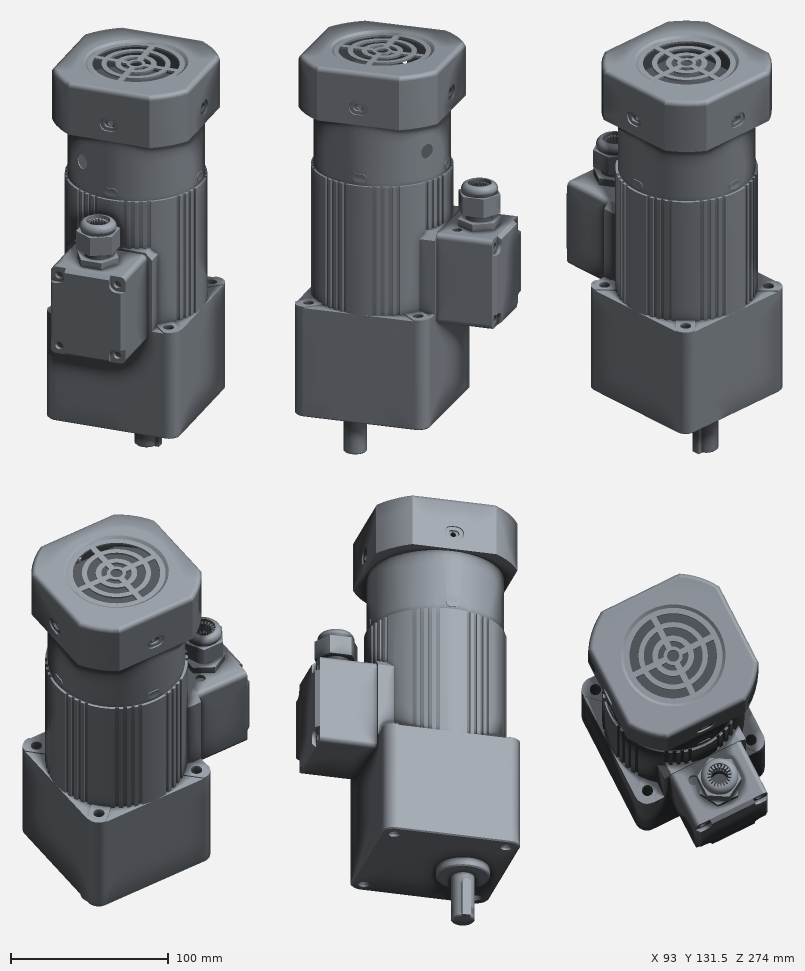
import cadquery as cq
import math


FRAME_SIDE = 90.5
FRAME_HALF = FRAME_SIDE / 2
FRAME_CORNER_RADIUS = 8.0
GEARBOX_HEIGHT = 65.2
GEARBOX_CHAMFER = 0.8
MOUNT_HOLE_OFFSET = 36.7
MOUNT_HOLE_DIAMETER = 7.0
SHAFT_OFFSET_Y = 18.0
BOSS_DIAMETER = 34.2
BOSS_HEIGHT = 5.8
BOSS_CHAMFER = 0.8

SHAFT_DIAMETER = 15.0
SHAFT_LENGTH = 30.7
SHAFT_CHAMFER = 0.8
KEY_WIDTH = 5.5
KEY_LENGTH = 25.8
KEY_OUTER_X = 9.5
KEY_DEPTH = 5.0

FLANGE_HEIGHT = 8.2
CORNER_PAD_HEIGHT = 0.8
CORNER_PAD_WIDTH = 12.0
STATOR_RADIUS = FRAME_HALF
STATOR_TOP = 160.3
GROOVE_GROUPS = 8
GROOVES_PER_GROUP = 4
GROOVE_PITCH_ANGLE = 6.4
GROOVE_WIDTH = 2.5
GROOVE_DEPTH = 1.5
BOX_PAD_WIDTH = 57.5
BOX_PAD_TOP = 127.7
BOX_PAD_CHAMFER = 4.7
SPIGOT_HEIGHT = 8.8
TAB_RADIUS = 44.0
TAB_WIDTH = 9.3
TAB_HEIGHT = 5.5
TAB_CENTER_Z = STATOR_TOP + 5.0

SKIRT_RADIUS = 43.5
SKIRT_WALL = 0.5
SKIRT_BORE_RADIUS = SKIRT_RADIUS - SKIRT_WALL
CAP_SIDE = 93.0
CAP_CORNER_RADIUS = 54.0
CAP_BOTTOM = 202.0
CAP_TOP = 237.5
CAP_FILLET = 3.0
CAP_WALL = 3.8
CAP_ROOF_THICKNESS = 1.0
CAP_FLOOR_THICKNESS = 9.5
GRILLE_PLATE_RADIUS = 35.3
DISH_TOP_RADIUS = 33.2
DISH_BOTTOM_RADIUS = 31.2
DISH_DEPTH = 1.5
GRILLE_THICKNESS = 1.5
GRILLE_RINGS = ((6.0, 9.5), (13.2, 18.5), (22.0, 27.7))
SPOKE_WIDTH = 3.8
CENTER_HOLE_DIAMETER = 7.7
SIDE_SLOT_Z = 213.5
SIDE_SLOT_LENGTH = 7.0
SIDE_SLOT_WIDTH = 4.7
SIDE_RECESS_LENGTH = 12.5
SIDE_RECESS_WIDTH = 9.3
SIDE_RECESS_DEPTH = 1.0
SIDE_SLOT_DEPTH = 2.7
SIDE_HOLE_DIAMETER = 3.5
SKIRT_HOLE_DIAMETER = 9.5
SKIRT_HOLE_Z = 180.3
SKIRT_HOLE_ANGLE = 30

BOX_WIDTH = 50.7
BOX_BOTTOM = 66.0
BOX_TOP = 126.3
BOX_BACK_Y = -FRAME_HALF
OVERALL_DEPTH = 131.5
BOX_FRONT_Y = CAP_SIDE / 2 - OVERALL_DEPTH
BOX_FILLET = 3.3
LID_DEPTH = 2.7
LID_BEVEL = 2.2
SCREW_POCKET_SIDE = 10.1
SCREW_POCKET_RADIUS = 5.0
SCREW_INSET = 5.5
SCREW_HOLE_DIAMETER = 5.0
SCREW_HOLE_DEPTH = 2.7
PLUG_HOLE_X = -13.2
PLUG_HOLE_Y = -54.8
PLUG_HOLE_DIAMETER = 6.3
PLUG_HOLE_DEPTH = 2.7

GLAND_Y = -65.2
LOCKNUT_FLATS = 24.0
LOCKNUT_HEIGHT = 5.0
NECK_DIAMETER = 17.3
NECK_HEIGHT = 4.7
CAPNUT_FLATS = 24.5
CAPNUT_HEIGHT = 12.5
CAPNUT_TURN = 30
DOME_DIAMETER = 23.5
DOME_BASE_DIAMETER = 22.0
DOME_BAND_HEIGHT = 2.5
DOME_RADIUS = 4.0
MOUTH_DIAMETER = DOME_DIAMETER - 2 * DOME_RADIUS
MOUTH_DEPTH = 2.2
CABLE_BORE_DIAMETER = 10.7
FINGER_COUNT = 20
FINGER_GAP = 0.8
FINGER_LENGTH = 8.2

EXTRA = 2.7


def box_between(x0, x1, y0, y1, z0, z1):
    return cq.Workplane("XY").box(x1 - x0, y1 - y0, z1 - z0, centered=False).translate((x0, y0, z0))


def cylinder(radius, z0, z1):
    return cq.Workplane("XY").workplane(offset=z0).circle(radius).extrude(z1 - z0)


def frame_block(z0, z1):
    block = cq.Workplane("XY").workplane(offset=z0).rect(FRAME_SIDE, FRAME_SIDE).extrude(z1 - z0)
    return block.edges("|Z").fillet(FRAME_CORNER_RADIUS)


def mounting_holes(z0, z1):
    spacing = 2 * MOUNT_HOLE_OFFSET
    holes = cq.Workplane("XY").workplane(offset=z0).rect(spacing, spacing, forConstruction=True)
    return holes.vertices().circle(MOUNT_HOLE_DIAMETER / 2).extrude(z1 - z0)


def radial_obround(length, width, center_z, reach):
    """Obround bar along -Y from the motor axis, long side horizontal."""
    return cq.Workplane("XZ").center(0, center_z).slot2D(length, width).extrude(reach)


def four_ways(tool):
    """The tool joined with its copies at every quarter turn about the motor axis."""
    turned = tool
    for quarter in range(1, 4):
        turned = turned.union(tool.rotate((0, 0, 0), (0, 0, 1), 90 * quarter))
    return turned


def tab_bars():
    """Four radial bars that shape the motor tabs and the windows they sit in."""
    return four_ways(radial_obround(TAB_WIDTH, TAB_HEIGHT, TAB_CENTER_Z, FRAME_SIDE))


def make_gearbox():
    body = frame_block(0, GEARBOX_HEIGHT)
    body = body.faces("<Z").edges().chamfer(GEARBOX_CHAMFER)
    boss = cylinder(BOSS_DIAMETER / 2, -BOSS_HEIGHT, GEARBOX_CHAMFER)
    boss = boss.faces("<Z").edges().chamfer(BOSS_CHAMFER).translate((0, SHAFT_OFFSET_Y, 0))
    return body.union(boss).cut(mounting_holes(-EXTRA, GEARBOX_HEIGHT + EXTRA))


SHAFT_TIP_Z = -BOSS_HEIGHT - SHAFT_LENGTH


def make_key():
    """Key reaching the shaft tip, with its upper end rounded."""
    key = box_between(
        KEY_OUTER_X - KEY_DEPTH,
        KEY_OUTER_X,
        SHAFT_OFFSET_Y - KEY_WIDTH / 2,
        SHAFT_OFFSET_Y + KEY_WIDTH / 2,
        SHAFT_TIP_Z,
        SHAFT_TIP_Z + KEY_LENGTH - KEY_WIDTH / 2,
    )
    round_end = (
        cq.Workplane("YZ")
        .workplane(offset=KEY_OUTER_X - KEY_DEPTH)
        .center(SHAFT_OFFSET_Y, SHAFT_TIP_Z + KEY_LENGTH - KEY_WIDTH / 2)
        .circle(KEY_WIDTH / 2)
        .extrude(KEY_DEPTH)
    )
    return key.union(round_end)


def make_output_shaft(key):
    shaft = cylinder(SHAFT_DIAMETER / 2, SHAFT_TIP_Z, -BOSS_HEIGHT)
    shaft = shaft.faces("<Z").edges().chamfer(SHAFT_CHAMFER)
    return shaft.translate((0, SHAFT_OFFSET_Y, 0)).cut(key)


FLANGE_TOP = GEARBOX_HEIGHT + FLANGE_HEIGHT
PAD_TOP = FLANGE_TOP + CORNER_PAD_HEIGHT


def make_corner_pads():
    """Raised strips along both diagonals, trimmed to the frame outline."""
    diagonal = FRAME_SIDE * math.sqrt(2)
    strip = box_between(
        -diagonal / 2, diagonal / 2, -CORNER_PAD_WIDTH / 2, CORNER_PAD_WIDTH / 2, GEARBOX_HEIGHT, PAD_TOP
    )
    strips = strip.rotate((0, 0, 0), (0, 0, 1), 45).union(strip.rotate((0, 0, 0), (0, 0, 1), -45))
    return strips.intersect(frame_block(GEARBOX_HEIGHT, PAD_TOP))


def make_groove_cutters():
    """Cooling grooves in equal groups, none of them centred on the X or Y axis."""
    groove = box_between(
        STATOR_RADIUS - GROOVE_DEPTH,
        STATOR_RADIUS + EXTRA,
        -GROOVE_WIDTH / 2,
        GROOVE_WIDTH / 2,
        FLANGE_TOP,
        STATOR_TOP + EXTRA,
    )
    cutters = cq.Workplane("XY")
    group_angle = 360 / GROOVE_GROUPS
    for group in range(GROOVE_GROUPS):
        for index in range(GROOVES_PER_GROUP):
            from_middle = (index - (GROOVES_PER_GROUP - 1) / 2) * GROOVE_PITCH_ANGLE
            angle = (group + 0.5) * group_angle + from_middle
            cutters = cutters.add(groove.rotate((0, 0, 0), (0, 0, 1), angle).vals())
    return cutters.combine()


def make_box_pad():
    """Flat-faced pad that carries the terminal box."""
    half = BOX_PAD_WIDTH / 2
    pad = box_between(-half, half, -FRAME_HALF, 0, GEARBOX_HEIGHT, BOX_PAD_TOP)
    return pad.edges("|Y and >Z").chamfer(BOX_PAD_CHAMFER)


def make_cover_tabs():
    return tab_bars().intersect(cylinder(TAB_RADIUS, STATOR_TOP, CAP_BOTTOM))


def make_motor_body():
    body = cylinder(STATOR_RADIUS, GEARBOX_HEIGHT, STATOR_TOP).cut(make_groove_cutters())
    body = body.union(frame_block(GEARBOX_HEIGHT, FLANGE_TOP))
    body = body.union(make_corner_pads())
    body = body.union(make_box_pad())
    body = body.union(cylinder(SKIRT_BORE_RADIUS, STATOR_TOP, STATOR_TOP + SPIGOT_HEIGHT))
    body = body.union(make_cover_tabs())
    return body.cut(mounting_holes(GEARBOX_HEIGHT - EXTRA, PAD_TOP + EXTRA))


DISH_FLOOR = CAP_TOP - DISH_DEPTH
CAVITY_FLOOR = CAP_BOTTOM + CAP_FLOOR_THICKNESS
CAVITY_TOP = CAP_TOP - CAP_ROOF_THICKNESS
GRILLE_BOTTOM = DISH_FLOOR - GRILLE_THICKNESS


def cap_block(inset, z0, z1):
    """Square with round corners concentric with the motor, shrunk by the inset."""
    side = CAP_SIDE - 2 * inset
    square = cq.Workplane("XY").workplane(offset=z0).rect(side, side).extrude(z1 - z0)
    return square.intersect(cylinder(CAP_CORNER_RADIUS - inset, z0, z1))


def make_grille_cutters():
    z0 = GRILLE_BOTTOM - EXTRA
    z1 = DISH_FLOOR + EXTRA
    slots = cylinder(CENTER_HOLE_DIAMETER / 2, z0, z1)
    spoke = box_between(-CAP_SIDE, CAP_SIDE, -SPOKE_WIDTH / 2, SPOKE_WIDTH / 2, z0, z1)
    cross = spoke.union(spoke.rotate((0, 0, 0), (0, 0, 1), 90))
    for inner_radius, outer_radius in GRILLE_RINGS:
        ring = cylinder(outer_radius, z0, z1).cut(cylinder(inner_radius, z0, z1))
        slots = slots.union(ring.cut(cross))
    return slots


def make_dish():
    return (
        cq.Workplane("XY")
        .workplane(offset=DISH_FLOOR)
        .circle(DISH_BOTTOM_RADIUS)
        .workplane(offset=DISH_DEPTH)
        .circle(DISH_TOP_RADIUS)
        .loft()
    )


def make_side_slots():
    """Stepped openings through the four flat walls of the cap."""
    hole = cq.Workplane("XZ").center(0, SIDE_SLOT_Z).circle(SIDE_HOLE_DIAMETER / 2).extrude(CAP_SIDE)
    slot = radial_obround(SIDE_SLOT_LENGTH, SIDE_SLOT_WIDTH, SIDE_SLOT_Z, CAP_SIDE)
    slot = slot.translate((0, SIDE_SLOT_DEPTH - CAP_SIDE / 2, 0))
    recess = radial_obround(SIDE_RECESS_LENGTH, SIDE_RECESS_WIDTH, SIDE_SLOT_Z, CAP_SIDE)
    recess = recess.translate((0, SIDE_RECESS_DEPTH - CAP_SIDE / 2, 0))
    return four_ways(hole.union(slot).union(recess))


def make_fan_cover():
    cover = cap_block(0, CAP_BOTTOM, CAP_TOP).faces(">Z").edges().fillet(CAP_FILLET)
    cavity = cap_block(CAP_WALL, CAVITY_FLOOR, CAVITY_TOP)
    cavity = cavity.cut(cylinder(GRILLE_PLATE_RADIUS, GRILLE_BOTTOM, CAVITY_TOP))
    cover = cover.cut(cavity)
    cover = cover.cut(make_dish()).cut(make_grille_cutters()).cut(make_side_slots())
    skirt = cylinder(SKIRT_RADIUS, STATOR_TOP, CAP_BOTTOM)
    skirt = skirt.cut(cylinder(SKIRT_BORE_RADIUS, STATOR_TOP, CAP_BOTTOM))
    side_hole = (
        cq.Workplane("XZ").center(0, SKIRT_HOLE_Z).circle(SKIRT_HOLE_DIAMETER / 2).extrude(CAP_SIDE)
    )
    skirt = skirt.cut(side_hole.rotate((0, 0, 0), (0, 0, 1), -SKIRT_HOLE_ANGLE))
    return cover.union(skirt.cut(tab_bars()))


SEAT_Y = BOX_FRONT_Y + LID_DEPTH
BOX_CENTER_Z = (BOX_BOTTOM + BOX_TOP) / 2
BOX_HEIGHT = BOX_TOP - BOX_BOTTOM


def make_screw_cutters():
    """Corner pockets down to the screw seats, each with its screw hole."""
    cutters = cq.Workplane("XY")
    for side_x in (-1, 1):
        for side_z in (-1, 1):
            corner_x = side_x * BOX_WIDTH / 2
            corner_z = BOX_CENTER_Z + side_z * BOX_HEIGHT / 2
            pocket = (
                cq.Workplane("XZ", origin=(0, SEAT_Y, 0))
                .center(corner_x, corner_z)
                .rect(2 * SCREW_POCKET_SIDE, 2 * SCREW_POCKET_SIDE)
                .extrude(LID_DEPTH + EXTRA)
                .edges("|Y")
                .fillet(SCREW_POCKET_RADIUS)
            )
            hole = (
                cq.Workplane("XZ", origin=(0, SEAT_Y + SCREW_HOLE_DEPTH, 0))
                .center(corner_x - side_x * SCREW_INSET, corner_z - side_z * SCREW_INSET)
                .circle(SCREW_HOLE_DIAMETER / 2)
                .extrude(SCREW_HOLE_DEPTH + EXTRA)
            )
            cutters = cutters.add(pocket.union(hole).vals())
    return cutters.combine()


def make_terminal_box():
    half = BOX_WIDTH / 2
    box = box_between(-half, half, BOX_FRONT_Y, BOX_BACK_Y, BOX_BOTTOM, BOX_TOP)
    box = box.edges("|Y").fillet(BOX_FILLET)
    box = box.faces("<Y").edges().chamfer(LID_BEVEL, LID_DEPTH)
    box = box.cut(make_screw_cutters())
    plug_hole = cylinder(PLUG_HOLE_DIAMETER / 2, BOX_TOP - PLUG_HOLE_DEPTH, BOX_TOP + EXTRA)
    return box.cut(plug_hole.translate((PLUG_HOLE_X, PLUG_HOLE_Y, 0)))


def hexagon(across_flats, z0, height):
    across_corners = across_flats / math.cos(math.pi / 6)
    return cq.Workplane("XY").workplane(offset=z0).polygon(6, across_corners).extrude(height)


def make_dome(base_z):
    """Flared band with a rim that rounds in to the mouth."""
    band_radius = DOME_DIAMETER / 2
    flat_radius = MOUTH_DIAMETER / 2
    rim_z = base_z + DOME_BAND_HEIGHT
    top_z = rim_z + DOME_RADIUS
    rim_middle = DOME_RADIUS * math.sqrt(0.5)
    return (
        cq.Workplane("XZ")
        .moveTo(0, base_z)
        .lineTo(DOME_BASE_DIAMETER / 2, base_z)
        .lineTo(band_radius, rim_z)
        .threePointArc((flat_radius + rim_middle, rim_z + rim_middle), (flat_radius, top_z))
        .lineTo(0, top_z)
        .close()
        .revolve(360, (0, 0, 0), (0, 1, 0))
    )


def make_finger_gaps(top_z):
    gap = box_between(
        0, MOUTH_DIAMETER / 2, -FINGER_GAP / 2, FINGER_GAP / 2, top_z - FINGER_LENGTH, top_z
    )
    gaps = cq.Workplane("XY")
    for index in range(FINGER_COUNT):
        gaps = gaps.add(gap.rotate((0, 0, 0), (0, 0, 1), index * 360 / FINGER_COUNT).vals())
    return gaps.combine()


def make_cable_gland():
    neck_z = BOX_TOP + LOCKNUT_HEIGHT
    capnut_z = neck_z + NECK_HEIGHT
    dome_z = capnut_z + CAPNUT_HEIGHT
    top_z = dome_z + DOME_BAND_HEIGHT + DOME_RADIUS
    gland = hexagon(LOCKNUT_FLATS, BOX_TOP, LOCKNUT_HEIGHT)
    gland = gland.union(cylinder(NECK_DIAMETER / 2, neck_z, capnut_z))
    capnut = hexagon(CAPNUT_FLATS, capnut_z, CAPNUT_HEIGHT).rotate((0, 0, 0), (0, 0, 1), CAPNUT_TURN)
    gland = gland.union(capnut).union(make_dome(dome_z))
    finger_top = top_z - MOUTH_DEPTH
    gland = gland.cut(cylinder(MOUTH_DIAMETER / 2, finger_top, top_z + EXTRA))
    gland = gland.cut(cylinder(CABLE_BORE_DIAMETER / 2, capnut_z, top_z))
    gland = gland.cut(make_finger_gaps(finger_top))
    return gland.translate((0, GLAND_Y, 0))


gearbox = make_gearbox()
key = make_key()
output_shaft = make_output_shaft(key)
motor_body = make_motor_body()
fan_cover = make_fan_cover()
terminal_box = make_terminal_box()
cable_gland = make_cable_gland()

result = cq.Compound.makeCompound(
    [
        gearbox.val(),
        output_shaft.val(),
        key.val(),
        motor_body.val(),
        fan_cover.val(),
        terminal_box.val(),
        cable_gland.val(),
    ]
)